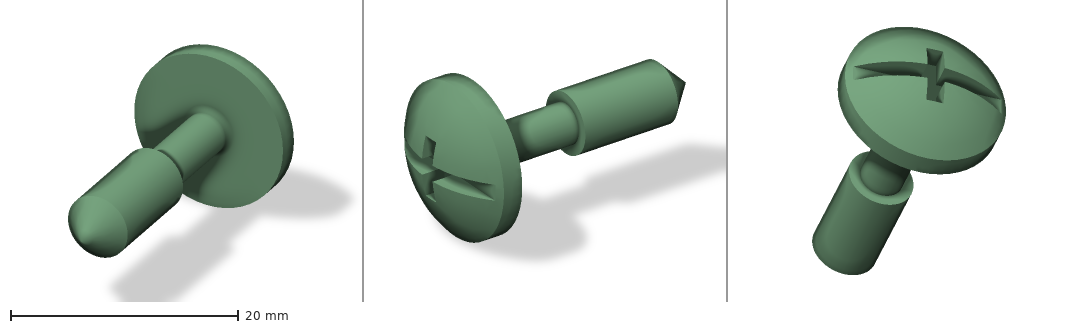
import cadquery as cq
import math

overall_length = 27.97
head_radius = 15.0 / 2
rim_thickness = 1.99
dome_rise = 3.0
neck_radius = 4.0 / 2
neck_fillet = 0.5
body_radius = 6.0 / 2
body_length = 10.0
tip_length = body_radius

slot_width = 1.6
slot_depth = 2.5
cross_arm_span = 6.0

dome_radius = (head_radius**2 + dome_rise**2) / (2 * dome_rise)
corner_radius = math.hypot(slot_width / 2, slot_width / 2)
corner_drop = dome_radius - math.sqrt(dome_radius**2 - corner_radius**2)
crest_y = overall_length + corner_drop

body_end_y = tip_length + body_length
rim_top_y = crest_y - dome_rise
head_base_y = rim_top_y - rim_thickness
dome_center_y = crest_y - dome_radius

half_angle = math.asin(head_radius / dome_radius) / 2
dome_mid = (
    dome_radius * math.sin(half_angle),
    dome_center_y + dome_radius * math.cos(half_angle),
)


def turned_screw():
    """Tip, body, neck and domed head, revolved about Y."""
    profile = (
        cq.Workplane("XY")
        .lineTo(body_radius, tip_length)
        .lineTo(body_radius, body_end_y)
        .lineTo(neck_radius, body_end_y)
        .lineTo(neck_radius, head_base_y - neck_fillet)
        .radiusArc((neck_radius + neck_fillet, head_base_y), neck_fillet)
        .lineTo(head_radius, head_base_y)
        .lineTo(head_radius, rim_top_y)
        .threePointArc(dome_mid, (0, crest_y))
        .close()
    )
    return profile.revolve(360, (0, 0, 0), (0, 1, 0))


def driver_cut(x_size, z_size):
    """Rectangular cut sunk from the crest down to the slot floor."""
    cut = cq.Workplane("XY").box(x_size, slot_depth, z_size)
    return cut.translate((0, crest_y - slot_depth / 2, 0))


through_slot = driver_cut(2 * head_radius, slot_width)
cross_arm = driver_cut(slot_width, cross_arm_span)

result = turned_screw().cut(through_slot).cut(cross_arm)